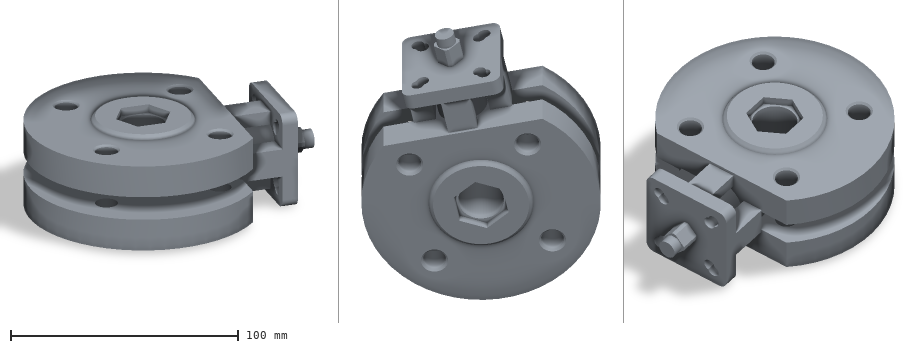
import cadquery as cq
import math

total_length = 130.8
total_height = 44.0

flange_diameter = 105.0
flange_gap = 10.7
flange_thickness = 14.6
flat_y = 38.6
flange_top = flange_gap / 2 + flange_thickness
bolt_spacing = 52.8
bolt_hole_diameter = 10.1
bolt_chamfer = 0.9

face_diameter = 46.0
face_height = total_height / 2 - flange_top
hex_across_flats = 22.0
hex_depth = 3.9
bore_diameter = 20.0

hub_diameter = 39.8
neck_width = 34.0

plate_width = total_height
plate_front_y = 57.0
plate_thickness = 7.2
plate_back_y = plate_front_y + plate_thickness
plate_corner_radius = 4.0
plate_hole_diameter = 5.8
plate_bolt_circles = (36.0, 42.0)
arm_width = 9.8
arm_height = 13.0
rib_width = 13.0
rib_inner_z = 12.2
rib_outer_z = 18.5
stem_housing_diameter = 22.0
recess_diameter = 27.0
recess_depth = 2.0

drive_across_flats = 9.4
drive_corner_diameter = 11.5
drive_end_y = 73.4
tip_diameter = 8.5
tip_end_y = total_length - flange_diameter / 2


def box(x_range, y_range, z_range):
    """Box between the given limits along each axis."""
    limits = (x_range, y_range, z_range)
    sizes = [high - low for low, high in limits]
    corner = [low for low, high in limits]
    return cq.Workplane("XY").box(*sizes, centered=False).translate(tuple(corner))


def along_y(start_y):
    """Workplane at start_y whose extrusions run towards +Y."""
    return cq.Workplane("XZ", origin=(0, start_y, 0)).transformed(rotate=(180, 0, 0))


def cylinder_y(diameter, start_y, end_y):
    return along_y(start_y).circle(diameter / 2).extrude(end_y - start_y)


def upper_flange():
    """Upper flange with its raised face and countersunk bolt holes."""
    radius = flange_diameter / 2
    disc = cq.Workplane("XY", origin=(0, 0, flange_gap / 2)).circle(radius).extrude(flange_thickness)
    disc = disc.intersect(box((-radius, radius), (-radius, flat_y), (0, flange_top)))
    disc = (
        disc.faces(">Z").workplane(origin=(0, 0, flange_top))
        .rect(bolt_spacing, bolt_spacing, forConstruction=True).vertices()
        .cskHole(bolt_hole_diameter, bolt_hole_diameter + 2 * bolt_chamfer, 90)
    )
    raised_face = (
        cq.Workplane("XY", origin=(0, 0, flange_top))
        .circle(face_diameter / 2).extrude(face_height, taper=45)
    )
    return disc.union(raised_face)


def body():
    """Hub, neck and a shoulder flaring at 45 degrees, which fill the gap between the flanges."""
    hub = cq.Workplane("XY").circle(hub_diameter / 2).extrude(flange_gap / 2, both=True)
    neck = box(
        (-neck_width / 2, neck_width / 2), (0, flat_y), (-flange_gap / 2, flange_gap / 2)
    )
    flare = (plate_width - neck_width) / 2
    shoulder = (
        cq.Workplane("XY")
        .polyline([
            (-neck_width / 2, flat_y - flare),
            (neck_width / 2, flat_y - flare),
            (plate_width / 2, flat_y),
            (-plate_width / 2, flat_y),
        ])
        .close().extrude(flange_gap / 2, both=True)
    )
    return hub.union(neck).union(shoulder)


def supports():
    """Side arms, upper and lower ribs and the round stem housing."""
    support_y_range = (flat_y, plate_front_y)
    shape = cylinder_y(stem_housing_diameter, flat_y, plate_front_y + recess_depth)
    arm = box(
        (plate_width / 2 - arm_width, plate_width / 2),
        support_y_range,
        (-arm_height / 2, arm_height / 2),
    )
    rib = box(
        (-rib_width / 2, rib_width / 2),
        support_y_range,
        (rib_inner_z, rib_outer_z),
    )
    return shape.union(arm).union(arm.mirror("YZ")).union(rib).union(rib.mirror("XY"))


def mounting_plate():
    """Rounded plate with overlapping diagonal holes on the two bolt circles.

    A shallow round recess receives the end of the stem housing.
    """
    plate = (
        along_y(plate_front_y).rect(plate_width, plate_width).extrude(plate_thickness)
        .edges("|Y").fillet(plate_corner_radius)
    )
    for circle_diameter in plate_bolt_circles:
        holes = (
            along_y(plate_front_y).polarArray(circle_diameter / 2, 45, 360, 4)
            .circle(plate_hole_diameter / 2).extrude(plate_thickness)
        )
        plate = plate.cut(holes)
    recess = cylinder_y(recess_diameter, plate_front_y, plate_front_y + recess_depth)
    return plate.cut(recess)


def stem_end():
    """Square drive turned by 45 degrees with rounded corners, and a round tip."""
    length = drive_end_y - plate_back_y
    square = (
        along_y(plate_back_y).transformed(rotate=(0, 0, 45))
        .rect(drive_across_flats, drive_across_flats).extrude(length)
    )
    drive = square.intersect(cylinder_y(drive_corner_diameter, plate_back_y, drive_end_y))
    return drive.union(cylinder_y(tip_diameter, drive_end_y, tip_end_y))


def bore():
    """Through bore with a hexagonal socket at each end."""
    hex_corner_diameter = hex_across_flats / math.cos(math.pi / 6)
    hexagon = (
        cq.Workplane("XY", origin=(0, 0, total_height / 2 - hex_depth))
        .transformed(rotate=(0, 0, 30))
        .polygon(6, hex_corner_diameter).extrude(hex_depth)
    )
    hole = cq.Workplane("XY").circle(bore_diameter / 2).extrude(total_height / 2, both=True)
    return hole.union(hexagon).union(hexagon.mirror("XY"))


flange = upper_flange()
result = body().union(flange).union(flange.mirror("XY"))
result = result.union(supports()).union(mounting_plate()).union(stem_end())
result = result.cut(bore())